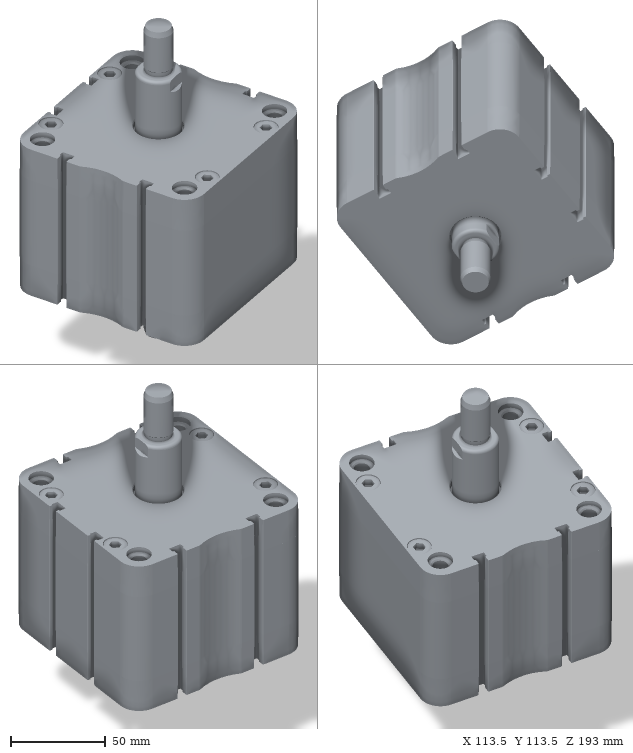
import cadquery as cq
import math


CASING_SIDE = 113.5
CASING_HEIGHT = 92.0
END_HEIGHT = 19.3
END_DRAFT_ANGLE = 0.7
CORNER_RADIUS = 12.4

HOLLOW_WIDTH = 26.6
HOLLOW_DEPTH = 2.9

SLOT_MOUTH = 5.2
SLOT_FLOOR = 7.0
FACE_SLOT_OFFSET = 24.9
FACE_SLOT_DEPTH = 7.0
FACE_SLOT_LIP = 4.0
SIDE_SLOT_OFFSET = 17.4
SIDE_SLOT_DEPTH = 5.8
SIDE_SLOT_LIP = 2.3

EDGE_CHAMFER = 0.4

MOUNT_OFFSET = 44.5
MOUNT_COUNTERBORE_DIAMETER = 13.5
MOUNT_COUNTERBORE_DEPTH = 3.0
MOUNT_CHAMFER_DIAMETER = 10.0
MOUNT_HOLE_DIAMETER = 8.5

SCREW_X = 49.0
SCREW_Y = 29.1
SCREW_POCKET_DIAMETER = 13.1
SCREW_HEAD_DIAMETER = 12.7
SCREW_HEAD_HEIGHT = 7.7
SCREW_HEAD_DROP = 0.5
SOCKET_ACROSS_FLATS = 6.0
SOCKET_DEPTH = 3.9

ROD_DIAMETER = 25.0
ROD_RECESS_DIAMETER = 26.8
ROD_RECESS_MOUTH_DIAMETER = 28.0
ROD_RECESS_DEPTH = 3.9
ROD_ABOVE_CASING = 35.0
ROD_EDGE_RADIUS = 2.0
STUD_LENGTH = 28.0
STUD_DIAMETER = 16.0
STUD_TIP_DIAMETER = 14.0
STUD_TIP_LENGTH = 3.0
NECK_DIAMETER = 14.9
NECK_LENGTH = 3.0
TOTAL_LENGTH = 193.0

FLAT_WIDTH = 22.0
FLAT_LENGTH = 7.1
FLAT_RUNOUT = 1.2

HALF_SIDE = CASING_SIDE / 2
CASING_TOP = CASING_HEIGHT / 2
CASING_BOTTOM = -CASING_TOP
CAP_SEAM = CASING_TOP - END_HEIGHT
LOWER_SEAM = CASING_BOTTOM + END_HEIGHT
ROD_TOP = CASING_TOP + ROD_ABOVE_CASING
ROD_BOTTOM = ROD_TOP + 2 * STUD_LENGTH - TOTAL_LENGTH
SCREW_TOP = CASING_TOP - SCREW_HEAD_DROP
SCREW_BOTTOM = SCREW_TOP - SCREW_HEAD_HEIGHT
QUADRANTS = [(x, y) for x in (-1, 1) for y in (-1, 1)]


def revolved(profile):
    """Solid of revolution about Z from (radius, z) points."""
    return cq.Workplane("XZ").polyline(profile).close().revolve(360, (0, 0, 0), (0, 1, 0))




def on_side(turn, along, inward):
    """Point on one side of the casing; turn 0 is the -Y side, then anticlockwise by quarters."""
    angle = math.radians(90 * turn)
    across = inward - HALF_SIDE
    return (
        along * math.cos(angle) - across * math.sin(angle),
        along * math.sin(angle) + across * math.cos(angle),
    )


def add_slot(outline, turn, center, depth, lip):
    half_mouth = SLOT_MOUTH / 2
    half_floor = SLOT_FLOOR / 2
    right_half = [
        (half_floor, depth),
        (half_floor, lip),
        (half_mouth, lip),
        (half_mouth, EDGE_CHAMFER),
        (half_mouth + EDGE_CHAMFER, 0),
    ]
    left_half = [(-along, inward) for along, inward in reversed(right_half)]
    for along, inward in left_half + right_half:
        outline = outline.lineTo(*on_side(turn, center + along, inward))
    return outline


def add_hollow(outline, turn):
    half_width = HOLLOW_WIDTH / 2
    edge_slope = HOLLOW_DEPTH / half_width
    arc_start = half_width - EDGE_CHAMFER
    arc_start_depth = 2 * EDGE_CHAMFER * edge_slope
    outline = outline.lineTo(*on_side(turn, -half_width - EDGE_CHAMFER, 0))
    outline = outline.lineTo(*on_side(turn, -arc_start, arc_start_depth))
    outline = outline.threePointArc(
        on_side(turn, 0, HOLLOW_DEPTH), on_side(turn, arc_start, arc_start_depth)
    )
    return outline.lineTo(*on_side(turn, half_width + EDGE_CHAMFER, 0))


def add_corner(outline, turn):
    """Straight run to the end of a side, then the round corner after it."""
    tangent = HALF_SIDE - CORNER_RADIUS
    middle = tangent + CORNER_RADIUS * math.sqrt(0.5)
    outline = outline.lineTo(*on_side(turn, tangent, 0))
    return outline.threePointArc(
        on_side(turn, middle, HALF_SIDE - middle), on_side(turn + 1, -tangent, 0)
    )


def add_slotted_face(outline, turn):
    outline = add_slot(outline, turn, -FACE_SLOT_OFFSET, FACE_SLOT_DEPTH, FACE_SLOT_LIP)
    outline = add_hollow(outline, turn)
    return add_slot(outline, turn, FACE_SLOT_OFFSET, FACE_SLOT_DEPTH, FACE_SLOT_LIP)


def casing_outline(z):
    minus_y, plus_x, plus_y, minus_x = range(4)
    start = on_side(minus_y, CORNER_RADIUS - HALF_SIDE, 0)
    outline = cq.Workplane("XY", origin=(0, 0, z)).moveTo(*start)
    outline = add_corner(add_slotted_face(outline, minus_y), minus_y)
    outline = add_corner(outline, plus_x)
    outline = add_corner(add_slotted_face(outline, plus_y), plus_y)
    for center in (-SIDE_SLOT_OFFSET, SIDE_SLOT_OFFSET):
        outline = add_slot(outline, minus_x, center, SIDE_SLOT_DEPTH, SIDE_SLOT_LIP)
    return add_corner(outline, minus_x).close()


def drafted_end():
    """Upper end of the casing, narrowing slightly from the seam to the top face."""
    return casing_outline(CAP_SEAM).extrude(END_HEIGHT, taper=END_DRAFT_ANGLE)




def rod_hole():
    """Bore that fits the rod, opened at both ends into a wider recess with a chamfered mouth."""
    bore = ROD_DIAMETER / 2
    recess = ROD_RECESS_DIAMETER / 2
    mouth = ROD_RECESS_MOUTH_DIAMETER / 2
    recess_floor = CASING_TOP - ROD_RECESS_DEPTH
    upper_half = [
        (bore, recess_floor),
        (recess, recess_floor),
        (recess, CASING_TOP - (mouth - recess)),
        (mouth, CASING_TOP),
        (0, CASING_TOP),
    ]
    lower_half = [(radius, -z) for radius, z in reversed(upper_half)]
    return revolved(lower_half + upper_half)


def mount_hole():
    counterbore = MOUNT_COUNTERBORE_DIAMETER / 2
    chamfer = MOUNT_CHAMFER_DIAMETER / 2
    hole = MOUNT_HOLE_DIAMETER / 2
    ledge = CASING_TOP - MOUNT_COUNTERBORE_DEPTH
    return revolved([
        (0, CASING_TOP),
        (counterbore, CASING_TOP),
        (counterbore, ledge),
        (chamfer, ledge),
        (hole, ledge - (chamfer - hole)),
        (hole, CAP_SEAM),
        (0, CAP_SEAM),
    ])


def screw_pocket():
    pocket = cq.Workplane("XY", origin=(0, 0, SCREW_BOTTOM)).circle(SCREW_POCKET_DIAMETER / 2)
    return pocket.extrude(CASING_TOP - SCREW_BOTTOM)




def make_housing():
    barrel = casing_outline(LOWER_SEAM).extrude(CAP_SEAM - LOWER_SEAM)
    return barrel.union(drafted_end().mirror("XY")).cut(rod_hole())


def make_cap():
    cap = drafted_end().cut(rod_hole())
    for x, y in QUADRANTS:
        cap = cap.cut(mount_hole().translate((x * MOUNT_OFFSET, y * MOUNT_OFFSET, 0)))
        cap = cap.cut(screw_pocket().translate((x * SCREW_X, y * SCREW_Y, 0)))
    return cap


def make_screw(x, y):
    head = cq.Workplane("XY", origin=(x, y, SCREW_BOTTOM)).circle(SCREW_HEAD_DIAMETER / 2)
    head = head.extrude(SCREW_HEAD_HEIGHT)
    across_corners = SOCKET_ACROSS_FLATS / math.cos(math.radians(30))
    socket = cq.Workplane("XY").polygon(6, across_corners).extrude(SOCKET_DEPTH)
    socket = socket.rotate((0, 0, 0), (0, 0, 1), 30)
    return head.cut(socket.translate((x, y, SCREW_TOP - SOCKET_DEPTH)))


def stud():
    """Stud standing on Z = 0: a relief neck, the threaded length and a chamfered tip."""
    radius = STUD_DIAMETER / 2
    neck = NECK_DIAMETER / 2
    tip = STUD_TIP_DIAMETER / 2
    return revolved([
        (0, 0),
        (neck, 0),
        (neck, NECK_LENGTH - (radius - neck)),
        (radius, NECK_LENGTH),
        (radius, STUD_LENGTH - STUD_TIP_LENGTH),
        (tip, STUD_LENGTH),
        (0, STUD_LENGTH),
    ])


def flat_cuts():
    """Cutters for the two flats below a rod shoulder at Z = 0."""
    flat = FLAT_WIDTH / 2
    rod = ROD_DIAMETER / 2
    profile = [
        (flat, 0),
        (flat, -FLAT_LENGTH),
        (rod, -FLAT_LENGTH - FLAT_RUNOUT),
        (rod, 0),
    ]
    cutter = cq.Workplane("XZ").polyline(profile).close().extrude(rod, both=True)
    return cutter.union(cutter.mirror("YZ"))


def make_rod():
    rod = cq.Workplane("XY", origin=(0, 0, ROD_BOTTOM)).circle(ROD_DIAMETER / 2)
    rod = rod.extrude(ROD_TOP - ROD_BOTTOM).edges().fillet(ROD_EDGE_RADIUS)
    top_place = (0, 0, ROD_TOP)
    bottom_place = (0, 0, ROD_BOTTOM)
    rod = rod.cut(flat_cuts().translate(top_place))
    rod = rod.cut(flat_cuts().mirror("XY").translate(bottom_place))
    rod = rod.union(stud().translate(top_place))
    return rod.union(stud().mirror("XY").translate(bottom_place))


housing = make_housing()
cap = make_cap()
rod = make_rod()
screws = [make_screw(x * SCREW_X, y * SCREW_Y) for x, y in QUADRANTS]

result = cq.Compound.makeCompound(
    [housing.val(), cap.val(), rod.val(), *[screw.val() for screw in screws]]
)